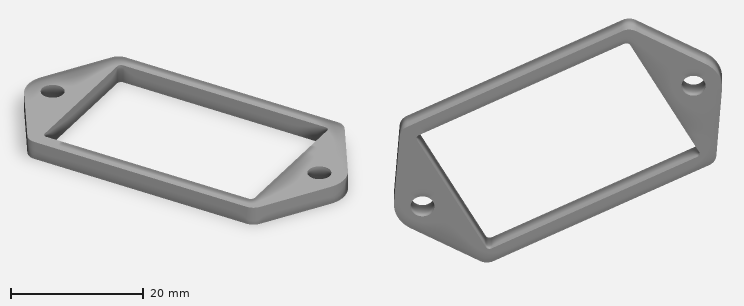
import cadquery as cq
import math

length = 55.0
width = 27.7
thickness = 3.0

taper_angle = math.radians(57.8)
tip_radius = 4.95
shoulder_radius = 2.1

window_length = 36.6
window_width = 23.35
window_corner_radius = 0.65
hole_diameter = 3.65
hole_spacing = 46.5

sharp_tip_x = length / 2 + tip_radius * (1 / math.sin(taper_angle) - 1)
shoulder_x = sharp_tip_x - width / 2 / math.tan(taper_angle)


def make_plate():
    """Hexagonal plate with rounded tips and shoulders."""
    corners = [
        (sharp_tip_x, 0),
        (shoulder_x, width / 2),
        (-shoulder_x, width / 2),
        (-sharp_tip_x, 0),
        (-shoulder_x, -width / 2),
        (shoulder_x, -width / 2),
    ]
    plate = cq.Workplane("XY").polyline(corners).close().extrude(thickness)
    plate = plate.edges("|Z and (<X or >X)").fillet(tip_radius)
    return plate.edges("|Z and (<Y or >Y)").fillet(shoulder_radius)


def make_window():
    """Through window with small rounded corners."""
    window = cq.Workplane("XY").rect(window_length, window_width).extrude(thickness)
    return window.edges("|Z").fillet(window_corner_radius)


def make_holes():
    """One through mounting hole near each tip."""
    centers = [(-hole_spacing / 2, 0), (hole_spacing / 2, 0)]
    return cq.Workplane("XY").pushPoints(centers).circle(hole_diameter / 2).extrude(thickness)


result = make_plate().cut(make_window()).cut(make_holes())